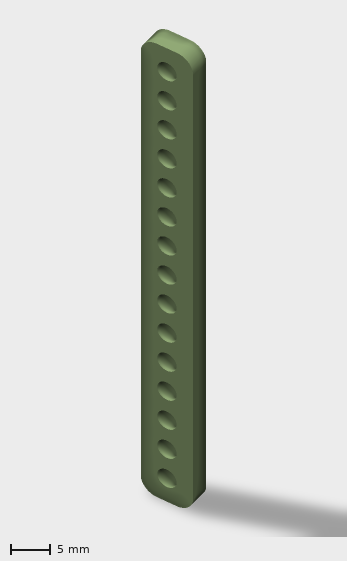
import cadquery as cq

length = 78.0
width = 8.0
thickness = 3.0
corner_radius = 2.5

hole_count = 15
hole_diameter = 3.0
hole_pitch = (length - width) / (hole_count - 1)


def rounded_bar():
    """Bar whose four corners are rounded across the thickness."""
    return cq.Workplane("XY").box(width, thickness, length).edges("|Y").fillet(corner_radius)


def drill_hole_row(bar):
    """Evenly spaced through holes along the centre line."""
    return (
        bar.faces("<Y")
        .workplane(origin=(0, 0, 0))
        .rarray(width, hole_pitch, 1, hole_count)
        .hole(hole_diameter)
    )


result = drill_hole_row(rounded_bar())